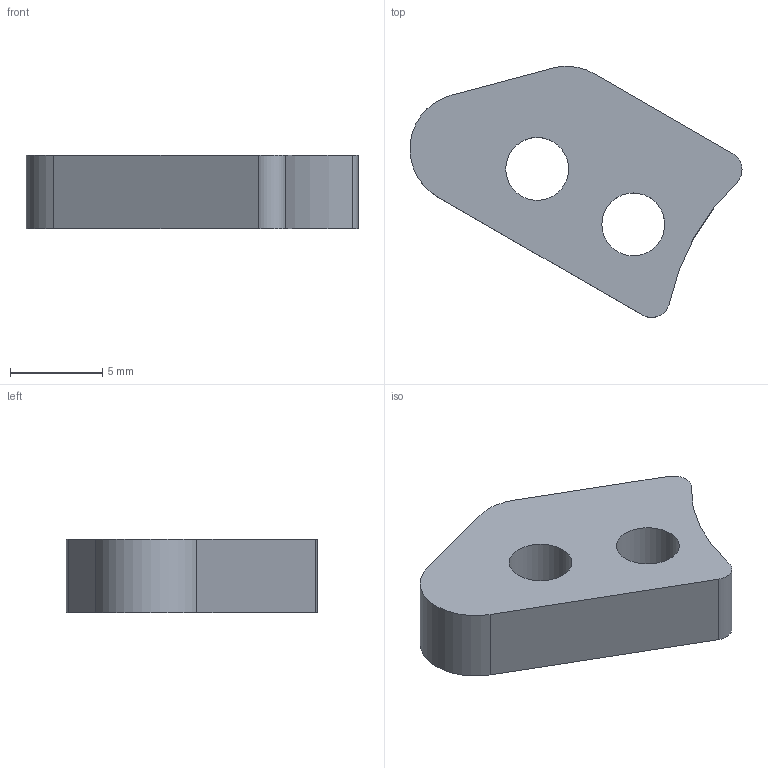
import cadquery as cq
import math

thickness = 4.0
tilt_angle = -30.0

hole_diameter = 3.4
hole_spacing = 6.0

width = 10.0
lower_side_y = -4.0
upper_side_y = lower_side_y + width

slant_angle = 45.0
nose_radius = 3.0
nose_center_x = -3.9

recess_radius = 12.5
recess_center_x = 21.7
recess_center_y = 1.2
tip_radius = 1.0

lower_corner_x = nose_center_x - nose_radius / math.tan(math.radians(slant_angle / 2))
upper_corner_x = lower_corner_x + width / math.tan(math.radians(slant_angle))


def recess_x_at(y):
    """X of the concave face at height y."""
    return recess_center_x - math.sqrt(recess_radius**2 - (y - recess_center_y) ** 2)


def round_upright_edge(body, x, y, radius):
    """Round the upright edge that stands at (x, y)."""
    edge = cq.selectors.NearestToPointSelector((x, y, thickness / 2))
    return body.edges("|Z").edges(edge).fillet(radius)


def make_blank():
    """Plate with sharp corners, one slanted end and one concave end."""
    outline = [
        (lower_corner_x, lower_side_y),
        (recess_center_x, lower_side_y),
        (recess_center_x, upper_side_y),
        (upper_corner_x, upper_side_y),
    ]
    plate = cq.Workplane("XY").polyline(outline).close().extrude(thickness)
    recess = (
        cq.Workplane("XY")
        .center(recess_center_x, recess_center_y)
        .circle(recess_radius)
        .extrude(thickness)
    )
    return plate.cut(recess)


def round_corners(body):
    """Round the slanted end generously and the two concave tips lightly."""
    body = round_upright_edge(body, lower_corner_x, lower_side_y, nose_radius)
    body = round_upright_edge(body, upper_corner_x, upper_side_y, nose_radius)
    for side_y in (lower_side_y, upper_side_y):
        body = round_upright_edge(body, recess_x_at(side_y), side_y, tip_radius)
    return body


def drill_holes(body):
    """Drill both holes through the full thickness."""
    centers = [(0, 0), (hole_spacing, 0)]
    drills = cq.Workplane("XY").pushPoints(centers).circle(hole_diameter / 2).extrude(thickness)
    return body.cut(drills)


plate = drill_holes(round_corners(make_blank()))
result = plate.rotate((0, 0, 0), (0, 0, 1), tilt_angle)